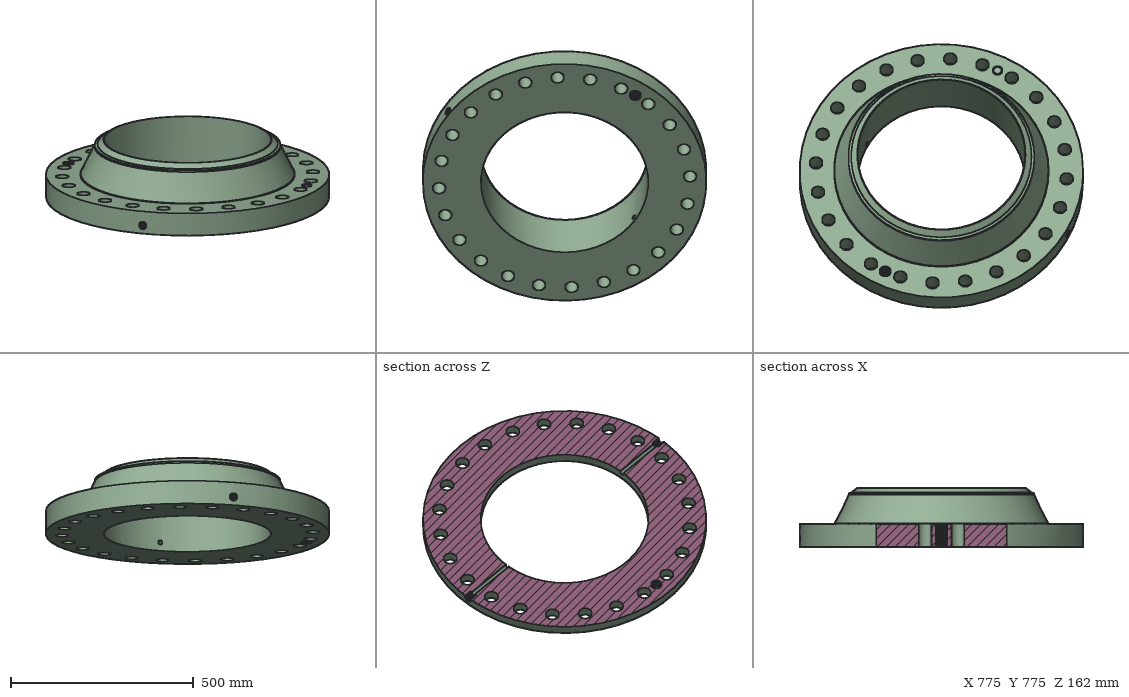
import cadquery as cq

flange_diameter = 775.0
flange_thickness = 63.5
overall_height = 162.0
bore_diameter = 457.0

hub_base_radius = 293.5
hub_base_chamfer = 1.5
hub_top_radius = 254.0
taper_top_z = 142.5

collar_height = 5.0
bevel_outer_radius = 246.0
bevel_rise = 12.5
root_face_width = 1.5

bolt_count = 24
bolt_circle_radius = 343.0
bolt_hole_diameter = 35.0

jack_minor_diameter = 26.0
jack_major_diameter = 30.0
jack_thread_turns = 18

ring_outer_diameter = 26.0
ring_inner_diameter = 22.0
ring_depth = 1.0

tap_z = 23.0
tap_hole_diameter = 12.0
tap_minor_diameter = 18.0
tap_major_diameter = 21.0
tap_thread_depth = 23.0
tap_thread_turns = 12


def make_body():
    """Revolve the flange, hub and weld bevel around Z."""
    bore_radius = bore_diameter / 2
    flange_radius = flange_diameter / 2
    profile = [
        (bore_radius, 0),
        (flange_radius, 0),
        (flange_radius, flange_thickness),
        (hub_base_radius, flange_thickness),
        (hub_base_radius - hub_base_chamfer, flange_thickness + hub_base_chamfer),
        (hub_top_radius, taper_top_z),
        (hub_top_radius, taper_top_z + collar_height),
        (bevel_outer_radius, overall_height - bevel_rise),
        (bore_radius + root_face_width, overall_height),
        (bore_radius, overall_height),
    ]
    return cq.Workplane("XZ").polyline(profile).close().revolve(360, (0, 0, 0), (0, 1, 0))


def make_threaded_cutter(minor_diameter, major_diameter, length, turns):
    """Cutter along +Z from the origin, with V rings standing in for the thread."""
    minor_radius = minor_diameter / 2
    major_radius = major_diameter / 2
    pitch = length / turns
    outline = [(0, 0), (major_radius, 0)]
    for turn in range(turns):
        outline.append((minor_radius, (turn + 0.5) * pitch))
        outline.append((major_radius, (turn + 1) * pitch))
    outline.append((0, length))
    return cq.Workplane("XZ").polyline(outline).close().revolve(360, (0, 0, 0), (0, 1, 0))


def make_bolt_holes():
    """Through holes, with the X and Y axes midway between neighbours."""
    first_angle = 180 / bolt_count
    return (
        cq.Workplane("XY")
        .polarArray(bolt_circle_radius, first_angle, 360, bolt_count)
        .circle(bolt_hole_diameter / 2)
        .extrude(flange_thickness)
    )


def make_jack_hole():
    """Threaded through hole between two bolt holes."""
    cutter = make_threaded_cutter(
        jack_minor_diameter, jack_major_diameter, flange_thickness, jack_thread_turns
    )
    return cutter.translate((-bolt_circle_radius, 0, 0))


def make_ring_groove():
    """Shallow ring in the flange top, opposite the jack screw hole."""
    return (
        cq.Workplane("XY", origin=(bolt_circle_radius, 0, flange_thickness - ring_depth))
        .circle(ring_outer_diameter / 2)
        .circle(ring_inner_diameter / 2)
        .extrude(ring_depth)
    )


def make_pressure_tap():
    """Radial hole from the -Y rim into the bore, threaded at its outer end."""
    flange_radius = flange_diameter / 2
    thread = make_threaded_cutter(
        tap_minor_diameter, tap_major_diameter, tap_thread_depth, tap_thread_turns
    )
    hole = cq.Workplane("XY").circle(tap_hole_diameter / 2).extrude(flange_radius)
    tap = thread.union(hole).rotate((0, 0, 0), (1, 0, 0), -90)
    return tap.translate((0, -flange_radius, tap_z))


result = make_body().cut(make_bolt_holes()).cut(make_jack_hole()).cut(make_ring_groove())
pressure_tap = make_pressure_tap()
for side_angle in (0, 180):
    result = result.cut(pressure_tap.rotate((0, 0, 0), (0, 0, 1), side_angle))